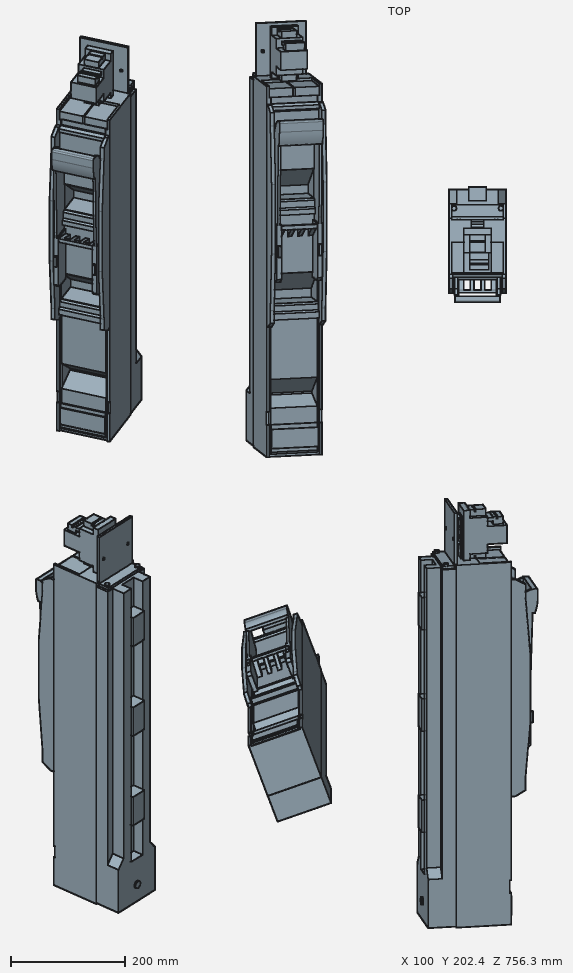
import cadquery as cq


HALF_WIDTH = 50.0
COVER_REAR = -50.5
COVER_FRONT = -148.5
COVER_TOP = 662.5
PANEL_HALF = 42.0
RIM_HALF = 45.5

BASE_BOTTOM = 2.0
BASE_TOP = 655.6
RAIL_HALF = 36.0
RAIL_DEPTH = 25.0
FOOT_TOP = 91.0
FOOT_SLOPE_TOP = 108.0
CHANNEL_DEPTH = 20.5
CLIP_HALF = 15.5
CLIP_PROUD = 4.4
CLIP_HEIGHT = 59.0
CLIP_FIRST_Z = 197.0
CLIP_PITCH = 185.0
CLIP_COUNT = 3
KNOB_DIAMETER = 14.0
KNOB_PROUD = 2.5
KNOB_Z = 37.5
TOP_BAR_HALF = 45.0
TOP_BAR_REAR = -27.0
TOP_BAR_TOP = 660.5
SCREW_DIAMETER = 8.55
SCREW_X = 41.0
SCREW_Y = -33.3
SCREW_TOP = 664.0

PLATE_HALF = 45.0
PLATE_REAR = -48.0
PLATE_FRONT = -53.0
PLATE_TOP = 756.28
PLATE_SEAT = 650.0
PLATE_HOLE = 5.0
PLATE_HOLE_X = 33.0
PLATE_HOLE_Z = 706.0
BLOCK_HALF = 24.0
BLOCK_REAR = -68.6
BLOCK_STEP = -80.0
BLOCK_MIDDLE = -111.3
BLOCK_FRONT = -146.2
BLOCK_TOP = 753.7
SHOULDER_TOP = 739.4
NOSE_TOP = 722.5
NOSE_BOTTOM = 689.7
SHOULDER_BOTTOM = 673.6
PLUG_LEFT = -13.5
PLUG_RIGHT = 13.5
NOSE_PLUG_RIGHT = 20.0
PLUG_SLIT = 2.5
SLIT_DEPTH = 4.0
NOSE_OVERHANG = 12.0
NOSE_PLUG_SETBACK = 5.0
BRACKET_HALF = 11.0
BRACKET_SHEET = 2.5
BRACKET_UPPER_Z = 715.5
BRACKET_LOWER_Z = 687.5
UPPER_LATCH = (
    (-66.5, 738.5), (-61.5, 736.0), (-57.0, 725.5), (-62.0, 718.0),
    (-65.5, 718.0), (-60.0, 725.5), (-63.0, 733.5), (-66.5, 735.5),
)
LOWER_LATCH = (
    (-57.5, 715.5), (-60.5, 708.5), (-60.5, 699.5), (-66.1, 699.5),
    (-66.1, 701.5), (-62.5, 701.5), (-62.5, 709.5), (-60.5, 715.5),
)

CAP_REAR = -93.0
CAP_FRONT = -146.5
CAP_TOP = 657.7
CAP_BOTTOM = 642.0
CAP_SILL_FRONT = -145.5
CAP_SPLIT = 4.0
CAP_SPLIT_DEPTH = 1.5
CAP_SEAM = 1.0
PANEL_RECESS = 2.6
GROOVE_DEPTH = 5.0
LATCH_LOW = 57.7
LATCH_HIGH = 81.0
LABEL_FRONT = -150.8
LABEL_LOW = 15.4
LABEL_HIGH = 49.8
BOTTOM_BEVEL_TOP = 8.8
BOTTOM_BEVEL_DEPTH = 4.0

LID_BOTTOM = 234.0
LID_TOP = 630.5
LID_CENTRE = (LID_BOTTOM + LID_TOP) / 2
LID_FLAT_FRONT = -156.0
LID_CORNER_FRONT = -174.0
LID_PEAK_FRONT = -182.5
LID_CORNER_HALF = 188.0
LID_KINK_HALF = 165.0
LID_PEAK_HALF = 62.0
LID_WALL_INNER = 43.0
FLOOR_FRONT = -150.5
FLOOR_BOTTOM = 246.5
HEADER_BOTTOM = 617.0
HEADER_EDGE = 626.5
LEDGE_DROP = 3.0
STEP_DEPTH = 4.0
ARM_INNER = 35.0
ARM_OUTER = 39.5
ARM_WIDE_INNER = 32.5
ARM_WIDE_OUTER = 41.0
ARM_WIDE_TOP = 421.0
ARM_FRONT = -184.8
ARM_BOTTOM = 318.0
HANDLE_HALF = ARM_OUTER
HANDLE_FRONT = -198.0
HANDLE_REAR = -187.0
HANDLE_TOP = 608.0
HANDLE_BOTTOM = 564.0
CROSSBAR_FRONT = -181.5
CROSSBAR_REAR = -176.0
CROSSBAR_LOW = 411.0
CROSSBAR_HIGH = 418.5
FIN_SPANS = ((-32.5, -24.0), (-12.8, -5.7), (5.7, 12.8), (24.0, 32.5))
FIN_LOW = 393.0
STUD_LOW = 364.0
STUD_HIGH = 384.0
STUD_FRONT = -189.5
STUD_INNER = 34.0
STUD_OUTER = 39.0

UPPER_GRIP = (459.5, 459.5, 475.0, 512.0, ARM_INNER)
MIDDLE_GRIP = (274.0, 274.0, 290.0, 327.5, ARM_WIDE_OUTER)
LOWER_GRIP = (86.0, 102.6, 106.0, 140.5, PANEL_HALF)
GRIPS = (UPPER_GRIP, MIDDLE_GRIP, LOWER_GRIP)
GRIP_DEPTH = 42.0
RIBS = ((459.5, 445.0, 433.0, ARM_INNER), (274.0, 260.5, FLOOR_BOTTOM, PANEL_HALF))


def box(x0, x1, y0, y1, z0, z1):
    """Block between two opposite corners."""
    size = (abs(x1 - x0), abs(y1 - y0), abs(z1 - z0))
    centre = ((x0 + x1) / 2, (y0 + y1) / 2, (z0 + z1) / 2)
    return cq.Workplane("XY").box(*size).translate(centre)


def side_profile(points, x0, x1):
    """Extrude a closed outline of (Y, Z) points from x0 to x1."""
    return cq.Workplane("YZ", origin=(x0, 0, 0)).polyline(points).close().extrude(x1 - x0)


def grip_pocket(low, floor_rear, ceiling_rear, high, half):
    """Finger pocket whose ceiling slopes down from the front to the rear wall."""
    overshoot = 10.0
    front = FLOOR_FRONT - overshoot
    rear = COVER_FRONT + GRIP_DEPTH
    outline = [(front, low), (COVER_FRONT, low), (rear, floor_rear)]
    outline += [(rear, ceiling_rear), (COVER_FRONT, high), (front, high)]
    return side_profile(outline, -half, half)


def make_base():
    body = box(-HALF_WIDTH, HALF_WIDTH, -RAIL_DEPTH, COVER_REAR, BASE_BOTTOM, BASE_TOP)
    rail_outline = [
        (-HALF_WIDTH, BASE_BOTTOM), (HALF_WIDTH, BASE_BOTTOM), (HALF_WIDTH, FOOT_TOP),
        (RAIL_HALF, FOOT_SLOPE_TOP), (RAIL_HALF, BASE_TOP), (-RAIL_HALF, BASE_TOP),
        (-RAIL_HALF, FOOT_SLOPE_TOP), (-HALF_WIDTH, FOOT_TOP),
    ]
    rail = cq.Workplane("XZ").polyline(rail_outline).close().extrude(RAIL_DEPTH)
    body = body.union(rail)
    body = body.cut(box(-CLIP_HALF, CLIP_HALF, 0, -CHANNEL_DEPTH, FOOT_TOP, BASE_TOP))
    for index in range(CLIP_COUNT):
        middle = CLIP_FIRST_Z + index * CLIP_PITCH
        low = middle - CLIP_HEIGHT / 2
        high = middle + CLIP_HEIGHT / 2
        body = body.union(box(-CLIP_HALF, CLIP_HALF, CLIP_PROUD, -CHANNEL_DEPTH, low, high))
    knob = cq.Workplane("XZ", origin=(0, 0, KNOB_Z)).circle(KNOB_DIAMETER / 2).extrude(-KNOB_PROUD)
    body = body.union(knob)
    body = body.union(box(-TOP_BAR_HALF, TOP_BAR_HALF, TOP_BAR_REAR, PLATE_REAR, BASE_TOP, TOP_BAR_TOP))
    for side in (-1, 1):
        screw = cq.Workplane("XY", origin=(side * SCREW_X, SCREW_Y, BASE_TOP))
        screw = screw.circle(SCREW_DIAMETER / 2).extrude(SCREW_TOP - BASE_TOP)
        body = body.union(screw)
    return body.cut(plate_slot())


def plate_slot():
    """Space taken by the lower end of the terminal plate."""
    return box(-PLATE_HALF, PLATE_HALF, PLATE_REAR, PLATE_FRONT, PLATE_SEAT, PLATE_TOP)


def make_terminal_unit():
    plate = plate_slot()
    holes = cq.Workplane("XZ", origin=(0, 0, PLATE_HOLE_Z))
    holes = holes.pushPoints([(-PLATE_HOLE_X, 0), (PLATE_HOLE_X, 0)])
    plate = plate.cut(holes.circle(PLATE_HOLE / 2).extrude(-PLATE_FRONT))

    block_outline = [
        (BLOCK_REAR, COVER_TOP), (BLOCK_REAR, BLOCK_TOP), (BLOCK_STEP, BLOCK_TOP),
        (BLOCK_STEP, SHOULDER_TOP), (BLOCK_MIDDLE, SHOULDER_TOP), (BLOCK_MIDDLE, NOSE_TOP),
        (BLOCK_FRONT, NOSE_TOP), (BLOCK_FRONT, NOSE_BOTTOM), (BLOCK_MIDDLE, NOSE_BOTTOM),
        (BLOCK_MIDDLE, SHOULDER_BOTTOM), (BLOCK_STEP, SHOULDER_BOTTOM), (BLOCK_STEP, COVER_TOP),
    ]
    unit = plate.union(side_profile(block_outline, -BLOCK_HALF, BLOCK_HALF))
    return unit.union(make_bracket()).union(make_plugs())


def make_bracket():
    """Sheet bracket and spring latch that hold the block on the plate."""
    half = BRACKET_HALF
    sheet = BRACKET_SHEET
    bracket = box(-half, half, PLATE_FRONT, PLATE_FRONT - sheet, COVER_TOP, BRACKET_LOWER_Z)
    bracket = bracket.union(box(-half, half, BLOCK_REAR + sheet, BLOCK_REAR, COVER_TOP, SHOULDER_TOP))
    for low in (BRACKET_LOWER_Z, BRACKET_UPPER_Z):
        bracket = bracket.union(box(-half, half, PLATE_FRONT, BLOCK_REAR, low, low + sheet))
    bracket = bracket.union(side_profile(UPPER_LATCH, -half, half))
    return bracket.union(side_profile(LOWER_LATCH, -half, half))


def make_plug(right, rear, front, low, high, slit_low, slit_high):
    """Plug block with a slit across it that parts its two terminal rows."""
    plug = box(PLUG_LEFT, right, rear, front, low, high)
    slit_rear = rear - (rear - front) / 3
    slit = box(PLUG_LEFT, right, slit_rear, slit_rear - PLUG_SLIT, slit_low, slit_high)
    return plug.cut(slit)


def make_plugs():
    """Pluggable terminals on the shoulder, on the nose and below the block."""
    plug_height = 12.2
    nose_plug_height = 13.5
    overhang_gap = 6.0
    overhang_drop = 1.5
    plug_front = BLOCK_MIDDLE + 1.0
    top = SHOULDER_TOP + plug_height
    upper = make_plug(PLUG_RIGHT, BLOCK_STEP, plug_front, SHOULDER_TOP, top, top - SLIT_DEPTH, top)
    slit_top = COVER_TOP + SLIT_DEPTH
    lower = make_plug(
        PLUG_RIGHT, BLOCK_STEP, plug_front, COVER_TOP, SHOULDER_BOTTOM, COVER_TOP, slit_top
    )
    split = BLOCK_MIDDLE - NOSE_OVERHANG
    top = NOSE_TOP + nose_plug_height
    nose_front = BLOCK_FRONT + NOSE_PLUG_SETBACK
    nose = make_plug(NOSE_PLUG_RIGHT, split, nose_front, NOSE_TOP, top, top - SLIT_DEPTH, top)
    overhang = box(
        PLUG_LEFT, NOSE_PLUG_RIGHT, BLOCK_MIDDLE, split, NOSE_TOP + overhang_gap, top - overhang_drop
    )
    return upper.union(lower).union(nose).union(overhang)


def make_cover():
    body = box(-HALF_WIDTH, HALF_WIDTH, COVER_REAR, COVER_FRONT, 0, COVER_TOP)
    body = body.cut(plate_slot())
    body = body.cut(box(-RIM_HALF, RIM_HALF, CAP_REAR, COVER_FRONT, CAP_TOP, COVER_TOP))
    body = body.cut(box(-RIM_HALF, RIM_HALF, CAP_FRONT, COVER_FRONT, CAP_BOTTOM, COVER_TOP))
    split_rear = CAP_FRONT + CAP_SPLIT_DEPTH
    body = body.cut(box(-CAP_SPLIT / 2, CAP_SPLIT / 2, split_rear, COVER_FRONT, CAP_BOTTOM, CAP_TOP))
    seam_floor = CAP_TOP - CAP_SPLIT_DEPTH
    body = body.cut(box(-CAP_SEAM / 2, CAP_SEAM / 2, CAP_REAR, COVER_FRONT, seam_floor, CAP_TOP))
    body = body.cut(box(-PANEL_HALF, PANEL_HALF, CAP_SILL_FRONT, COVER_FRONT, LID_TOP, CAP_BOTTOM))
    panel_front = COVER_FRONT + PANEL_RECESS
    body = body.cut(box(-RIM_HALF, RIM_HALF, panel_front, COVER_FRONT, 0, FLOOR_BOTTOM))
    for side in (-1, 1):
        inner = side * PANEL_HALF
        outer = side * RIM_HALF
        groove_rear = COVER_FRONT + GROOVE_DEPTH
        body = body.cut(box(inner, outer, groove_rear, COVER_FRONT, LATCH_LOW, FLOOR_BOTTOM))
    body = body.cut(box(-HALF_WIDTH, HALF_WIDTH, panel_front, COVER_FRONT, LATCH_LOW, LATCH_HIGH))
    foot_panel = [
        (panel_front, LATCH_LOW), (COVER_FRONT, LATCH_LOW), (COVER_FRONT, BOTTOM_BEVEL_TOP),
        (panel_front, BOTTOM_BEVEL_TOP - BOTTOM_BEVEL_DEPTH),
    ]
    body = body.union(side_profile(foot_panel, -PANEL_HALF, PANEL_HALF))
    body = body.union(box(-PANEL_HALF, PANEL_HALF, COVER_FRONT, LABEL_FRONT, LABEL_LOW, LABEL_HIGH))
    for grip in GRIPS:
        body = body.cut(grip_pocket(*grip))
    return body


def lid_wall_outline():
    """Side-wall outline, symmetric about the middle height of the lid."""
    half_height = LID_TOP - LID_CENTRE
    upper = [
        (COVER_FRONT, half_height), (LID_FLAT_FRONT, half_height),
        (LID_CORNER_FRONT, LID_CORNER_HALF), (LID_CORNER_FRONT, LID_KINK_HALF),
        (LID_PEAK_FRONT, LID_PEAK_HALF),
    ]
    lower = [(y, -z) for y, z in reversed(upper)]
    return [(y, LID_CENTRE + z) for y, z in upper + lower]


def make_lid():
    lid = box(-LID_WALL_INNER, LID_WALL_INNER, COVER_FRONT, FLOOR_FRONT, FLOOR_BOTTOM, HEADER_BOTTOM)
    for left in (-HALF_WIDTH, LID_WALL_INNER):
        lid = lid.union(side_profile(lid_wall_outline(), left, left + HALF_WIDTH - LID_WALL_INNER))
    first_front = FLOOR_FRONT - STEP_DEPTH
    second_front = first_front - STEP_DEPTH
    header = [(COVER_FRONT, LID_TOP), (first_front, HEADER_EDGE), (first_front, HEADER_BOTTOM + LEDGE_DROP),
              (FLOOR_FRONT, HEADER_BOTTOM), (COVER_FRONT, HEADER_BOTTOM)]
    lid = lid.union(side_profile(header, -LID_WALL_INNER, LID_WALL_INNER))
    for first, second, end, half in RIBS:
        steps = [
            (COVER_FRONT, first), (FLOOR_FRONT, first), (first_front, first - LEDGE_DROP),
            (first_front, second), (second_front, second - LEDGE_DROP),
            (second_front, end), (COVER_FRONT, end),
        ]
        lid = lid.union(side_profile(steps, -half, half))
    for grip in (UPPER_GRIP, MIDDLE_GRIP):
        lid = lid.cut(grip_pocket(*grip))
    return lid.union(make_arms()).union(make_handle()).union(make_crossbar())


def make_arms():
    """Lever arms along both sides, thick below the crossbar."""
    lean = 4.0
    bottom_chamfer = 6.0
    top_drop = 6.0
    shoulder_top = HANDLE_TOP - 1.0
    thin_outline = [
        (COVER_FRONT, ARM_BOTTOM), (ARM_FRONT, ARM_WIDE_TOP), (ARM_FRONT, LID_CENTRE),
        (ARM_FRONT - lean, HANDLE_BOTTOM), (ARM_FRONT - lean, shoulder_top),
        (ARM_FRONT, shoulder_top), (LID_CORNER_FRONT, HANDLE_TOP - top_drop),
        (COVER_FRONT, HANDLE_BOTTOM),
    ]
    wide_outline = [
        (COVER_FRONT, ARM_BOTTOM), (ARM_FRONT + bottom_chamfer, ARM_BOTTOM),
        (ARM_FRONT, ARM_BOTTOM + bottom_chamfer), (ARM_FRONT, ARM_WIDE_TOP),
        (COVER_FRONT, ARM_WIDE_TOP),
    ]
    arms = cq.Workplane("XY")
    for side in (-1, 1):
        thin = side_profile(thin_outline, ARM_INNER, ARM_OUTER)
        wide = side_profile(wide_outline, ARM_WIDE_INNER, ARM_WIDE_OUTER)
        stud = box(STUD_INNER, STUD_OUTER, ARM_FRONT, STUD_FRONT, STUD_LOW, STUD_HIGH)
        arm = thin.union(wide).union(stud)
        arms = arms.add(arm if side > 0 else arm.mirror("YZ"))
    return arms.combine()


def make_handle():
    """Handle bar whose front curves back towards its lower edge."""
    curve_top = 590.0
    curve_end_front = -192.9
    top_round = 2.5
    profile = (
        cq.Workplane("YZ", origin=(-HANDLE_HALF, 0, 0))
        .moveTo(HANDLE_REAR, HANDLE_BOTTOM)
        .lineTo(HANDLE_REAR, HANDLE_TOP)
        .lineTo(HANDLE_FRONT, HANDLE_TOP)
        .lineTo(HANDLE_FRONT, curve_top)
        .tangentArcPoint((curve_end_front, HANDLE_BOTTOM), relative=False)
        .close()
        .extrude(2 * HANDLE_HALF)
    )
    return profile.edges("|X").edges(">Z and <Y").fillet(top_round)


def make_crossbar():
    """Bar between the lever arms with fins reaching back to the lid floor."""
    half = ARM_WIDE_INNER
    bar = box(-half, half, CROSSBAR_REAR, CROSSBAR_FRONT, CROSSBAR_LOW, CROSSBAR_HIGH)
    for left, right in FIN_SPANS:
        fin = [(FLOOR_FRONT, FIN_LOW), (CROSSBAR_REAR, CROSSBAR_LOW), (CROSSBAR_FRONT, CROSSBAR_LOW),
               (CROSSBAR_REAR, CROSSBAR_HIGH), (FLOOR_FRONT, CROSSBAR_LOW)]
        bar = bar.union(side_profile(fin, left, right))
    return bar


base = make_base()
terminal_unit = make_terminal_unit()
cover = make_cover()
lid = make_lid()

result = cq.Compound.makeCompound([base.val(), terminal_unit.val(), cover.val(), lid.val()])